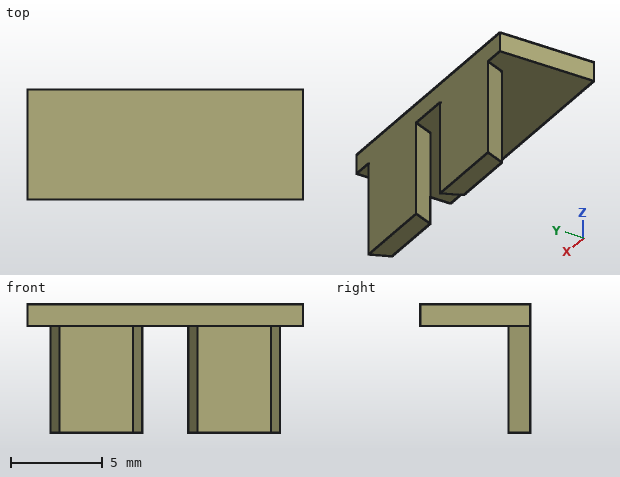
import cadquery as cq

plate_length = 15.0
plate_width = 6.0
plate_thickness = 1.2

total_height = 7.0
leg_height = total_height - plate_thickness
leg_thickness = 1.2
leg_rear_width = 5.0
leg_side_inset = 0.5
leg_spacing = 7.5

rear_y = plate_width / 2


def make_plate():
    """Flat plate resting on top of the legs."""
    return (
        cq.Workplane("XY")
        .workplane(offset=leg_height)
        .rect(plate_length, plate_width)
        .extrude(plate_thickness)
    )


def make_leg(center_x):
    """Upright leg with a trapezoid section, widest at the rear."""
    rear_half = leg_rear_width / 2
    front_half = rear_half - leg_side_inset
    front_y = rear_y - leg_thickness
    return (
        cq.Workplane("XY")
        .polyline([
            (center_x - rear_half, rear_y),
            (center_x + rear_half, rear_y),
            (center_x + front_half, front_y),
            (center_x - front_half, front_y),
        ])
        .close()
        .extrude(leg_height)
    )


result = make_plate()
for side in (-1, 1):
    result = result.union(make_leg(side * leg_spacing / 2))